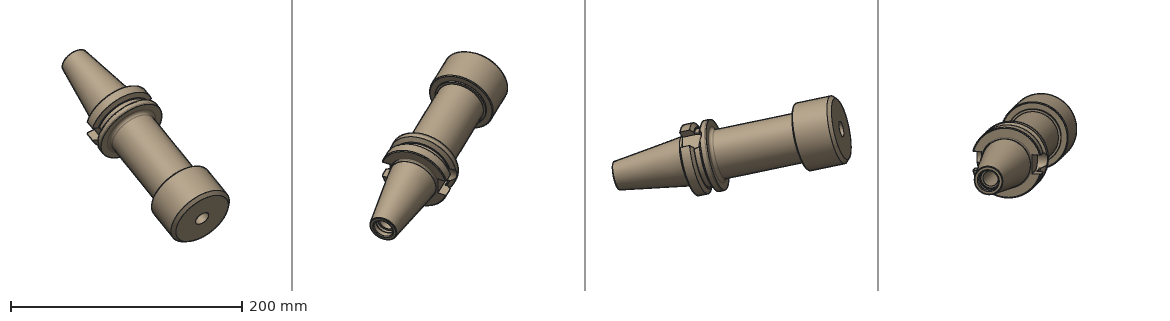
import cadquery as cq
import math

taper_end = 64.6
flange_start = 67.5
front_land_end = 76.7
groove_start = 79.2
groove_end = 84.0
rear_land_start = 86.5
flange_end = 92.0
collar_start = 168.2
nut_start = 169.8
nut_end = 205.0

taper_small_diameter = 25.5
taper_large_diameter = 43.9
relief_diameter = 43.7
flange_diameter = 63.0
groove_diameter = 52.0
groove_shoulder_diameter = 54.8
shank_diameter = 43.7
collar_diameter = 48.0
nut_diameter = 60.0

taper_chamfer = 0.6
flange_chamfer = 0.8
flange_rear_chamfer_length = 1.2
flange_rear_chamfer_depth = 0.2
relief_fillet = 0.8
shank_fillet = 3.0
nut_rear_chamfer = 0.8
nut_front_chamfer = 3.0

bore_diameter = 13.5
pilot_diameter = 17.6
pilot_depth = 5.3
counterbore_diameter = 17.0
counterbore_depth = 8.2
mouth_diameter = 19.5

slot_width = 17.0
slot_tip = 88.0
slot_floor = 22.5


def x_cylinder(diameter, start, end):
    """Solid cylinder on the X axis between two axial positions."""
    return cq.Workplane("YZ", origin=(start, 0, 0)).circle(diameter / 2).extrude(end - start)


def make_holder_blank():
    """Taper, grooved flange, shank and collar as one revolved outline."""
    taper_radius = taper_small_diameter / 2
    relief_radius = relief_diameter / 2
    flange_radius = flange_diameter / 2
    shank_radius = shank_diameter / 2
    arc_offset = math.sqrt(0.5)
    relief_center_x = flange_start - relief_fillet
    relief_center_r = relief_radius + relief_fillet
    shank_center_x = flange_end + shank_fillet
    shank_center_r = shank_radius + shank_fillet
    outline = (
        cq.Workplane("XY")
        .moveTo(0, 0)
        .lineTo(0, taper_radius - taper_chamfer)
        .lineTo(taper_chamfer, taper_radius)
        .lineTo(taper_end, taper_large_diameter / 2)
        .lineTo(taper_end, relief_radius)
        .lineTo(relief_center_x, relief_radius)
        .threePointArc(
            (relief_center_x + relief_fillet * arc_offset, relief_center_r - relief_fillet * arc_offset),
            (flange_start, relief_center_r),
        )
        .lineTo(flange_start, flange_radius - flange_chamfer)
        .lineTo(flange_start + flange_chamfer, flange_radius)
        .lineTo(front_land_end, flange_radius)
        .lineTo(groove_start, groove_shoulder_diameter / 2)
        .lineTo(groove_start, groove_diameter / 2)
        .lineTo(groove_end, groove_diameter / 2)
        .lineTo(groove_end, groove_shoulder_diameter / 2)
        .lineTo(rear_land_start, flange_radius)
        .lineTo(flange_end - flange_rear_chamfer_length, flange_radius)
        .lineTo(flange_end, flange_radius - flange_rear_chamfer_depth)
        .lineTo(flange_end, shank_center_r)
        .threePointArc(
            (shank_center_x - shank_fillet * arc_offset, shank_center_r - shank_fillet * arc_offset),
            (shank_center_x, shank_radius),
        )
        .lineTo(collar_start, shank_radius)
        .lineTo(collar_start, collar_diameter / 2)
        .lineTo(nut_start, collar_diameter / 2)
        .lineTo(nut_start, 0)
        .close()
    )
    return outline.revolve(360, (0, 0, 0), (1, 0, 0))


def make_slot_cutter(side):
    """Round-ended drive slot, open toward the taper; side is -1 or +1 along Y."""
    slot_radius = slot_width / 2
    round_center = slot_tip - slot_radius
    slot_depth = flange_diameter / 2 - slot_floor
    return (
        cq.Workplane("XZ", origin=(0, side * slot_floor, 0))
        .moveTo(flange_start, -slot_radius)
        .lineTo(round_center, -slot_radius)
        .threePointArc((slot_tip, 0), (round_center, slot_radius))
        .lineTo(flange_start, slot_radius)
        .close()
        .extrude(-side * slot_depth)
    )


def make_mouth_cutter():
    """45-degree countersink that opens the pilot bore to the mouth diameter."""
    depth = (mouth_diameter - pilot_diameter) / 2
    cone = cq.Solid.makeCone(
        mouth_diameter / 2, pilot_diameter / 2, depth, cq.Vector(0, 0, 0), cq.Vector(1, 0, 0)
    )
    return cq.Workplane(cone)


def make_holder():
    """Holder with its stepped bore and drive slots."""
    holder = make_holder_blank()
    holder = holder.cut(x_cylinder(bore_diameter, 0, nut_start))
    holder = holder.cut(x_cylinder(counterbore_diameter, 0, counterbore_depth))
    holder = holder.cut(x_cylinder(pilot_diameter, 0, pilot_depth))
    holder = holder.cut(make_mouth_cutter())
    for side in (-1, 1):
        holder = holder.cut(make_slot_cutter(side))
    return holder


def make_nut():
    """Clamping nut seated against the collar, with the bore passing through."""
    nut = x_cylinder(nut_diameter, nut_start, nut_end)
    nut = nut.faces("<X").chamfer(nut_rear_chamfer)
    nut = nut.faces(">X").chamfer(nut_front_chamfer)
    return nut.cut(x_cylinder(bore_diameter, nut_start, nut_end))


holder = make_holder()
nut = make_nut()

result = cq.Compound.makeCompound([holder.val(), nut.val()])